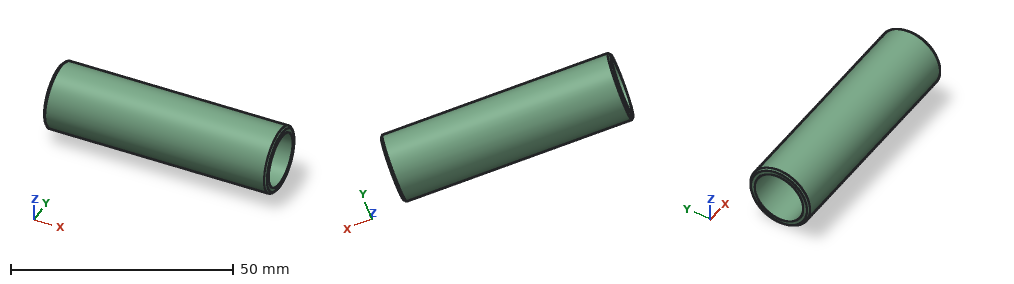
import cadquery as cq

length = 55.0
outer_diameter = 16.0
bore_diameter = 13.0
end_chamfer = 0.5


def centred_cylinder(diameter):
    """Full-length cylinder along X, centred on the origin."""
    start_plane = cq.Workplane("YZ", origin=(-length / 2, 0, 0))
    return start_plane.circle(diameter / 2).extrude(length)


bar = centred_cylinder(outer_diameter)
bar = bar.faces("<X or >X").edges().chamfer(end_chamfer)

result = bar.cut(centred_cylinder(bore_diameter))